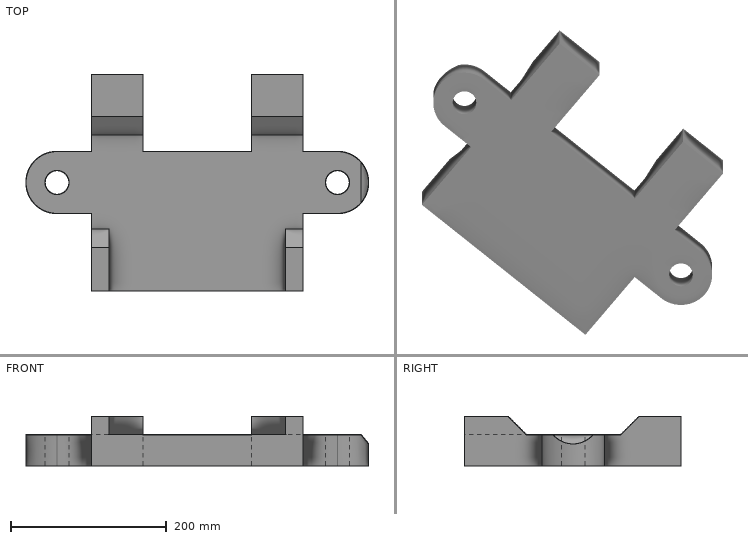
import cadquery as cq

length = 440.0
depth = 278.0
height = 64.0
base_height = 40.5

body_width = 272.0
lug_width = 80.0
lug_radius = lug_width / 2
hole_diameter = 30.5
lug_center_x = length / 2 - lug_radius
front_y = -139.5
back_y = front_y + depth

arm_width = 66.5
arm_top_length = 54.0
cheek_width = 22.5
cheek_top_length = 56.5
slope_run = height - base_height

bevel_run = 9.5
bevel_drop = 12.0


def box(x_min, x_max, y_min, y_max, z_height):
    """Box standing on the base plane."""
    return cq.Workplane("XY").box(
        x_max - x_min, y_max - y_min, z_height, centered=False
    ).translate((x_min, y_min, 0))


def raised_block(x_min, width, outer_y, top_length, inward):
    """Full-height block sloping down to the base; inward is its Y direction."""
    top_y = outer_y + inward * top_length
    foot_y = top_y + inward * slope_run
    profile = [
        (outer_y, 0),
        (foot_y, 0),
        (foot_y, base_height),
        (top_y, height),
        (outer_y, height),
    ]
    return (
        cq.Workplane("YZ").workplane(offset=x_min)
        .polyline(profile).close().extrude(width)
    )


half_body = body_width / 2
plate = box(-half_body, half_body, front_y, lug_radius, base_height)
lugs = cq.Workplane("XY").slot2D(length, lug_width).extrude(base_height)
result = plate.union(lugs)

for side in (-1, 1):
    arm_x = -half_body if side < 0 else half_body - arm_width
    cheek_x = -half_body if side < 0 else half_body - cheek_width
    arm = box(arm_x, arm_x + arm_width, lug_radius, back_y, base_height)
    arm_block = raised_block(arm_x, arm_width, back_y, arm_top_length, -1)
    cheek = raised_block(cheek_x, cheek_width, front_y, cheek_top_length, 1)
    result = result.union(arm).union(arm_block).union(cheek)

holes = (
    cq.Workplane("XY")
    .pushPoints([(-lug_center_x, 0), (lug_center_x, 0)])
    .circle(hole_diameter / 2)
    .extrude(base_height)
)
result = result.cut(holes)

bevel = (
    cq.Workplane("XZ")
    .moveTo(length / 2 - bevel_run, base_height)
    .lineTo(length / 2, base_height)
    .lineTo(length / 2, base_height - bevel_drop)
    .close()
    .extrude(lug_radius, both=True)
)
result = result.cut(bevel)